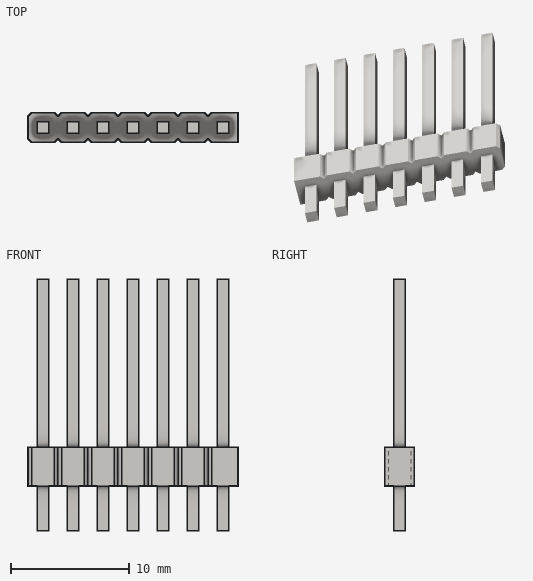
import cadquery as cq

pin_count = 7
body_length = 17.79
body_width = 2.54
body_height = 3.3
pin_length = 21.33
pin_side = 1.0
tail_length = 3.8
chamfer = 0.3

pitch = body_length / pin_count
left_end = -body_length / 2
half_width = body_width / 2
pin_places = [(left_end + (i + 0.5) * pitch, 0) for i in range(pin_count)]

cut_places = [(left_end + i * pitch, side * half_width) for i in range(pin_count) for side in (-1, 1)]


def make_body():
    """Plastic strip with a V notch on both long sides at each cell boundary."""
    strip = cq.Workplane("XY").rect(body_length, body_width).extrude(body_height)
    notches = (
        cq.Workplane("XY")
        .pushPoints(cut_places)
        .polygon(4, 2 * chamfer)
        .extrude(body_height)
    )
    return strip.cut(notches)


def make_pins():
    """Row of square pins passing through the body."""
    return (
        cq.Workplane("XY", origin=(0, 0, -tail_length))
        .pushPoints(pin_places)
        .rect(pin_side, pin_side)
        .extrude(pin_length)
    )


result = make_body().union(make_pins())